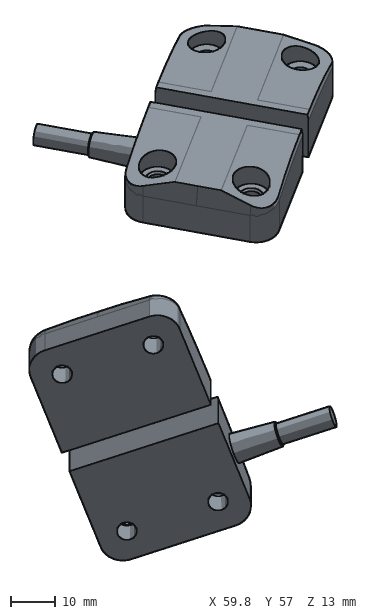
import cadquery as cq
import math

total_length = 59.75
total_depth = 57.0
height = 13.0
width = 35.95
depth = 26.0
gap = total_depth - 2 * depth
half_width = width / 2
corner_radius = 5.4

flat_half_width = 5.45
flat_edge_depth = 1.9
wing_drop = 4.0

band_radius = 12.55
band_draft = 0.08
band_inner_drop = 1.5
band_corner_drop = 3.45
band_outer_drop = 4.8

hole_spacing = 22.0
hole_from_inner_face = 18.9
hole_diameter = 4.5
counterbore_diameter = 8.5
counterbore_depth = 5.6
hole_mouth_diameter = 5.5
hole_mouth_depth = 0.5

cable_diameter = 5.0
cable_from_inner_face = 10.6
cable_height = 6.6
relief_length = 10.95
relief_root_diameter = 7.05
relief_tip_diameter = 6.0
relief_tip_chamfer = 0.3
relief_embed = 0.6

margin = 1.8


def mirrored_pair(solid):
    """Return a cutting body and its mirror image across the middle of the block."""
    return [solid, solid.mirror("YZ")]


def wing_cutter():
    """Space above one wing: zero drop at the flat strips, a curved drop at the side."""
    start = flat_edge_depth
    end = depth + margin
    middle = (start + end) / 2
    side_span = half_width - flat_half_width
    side_drop = wing_drop * ((end - start) / (depth - start)) ** 2
    roof = height + margin

    def profile(x, drop):
        bottom_start = cq.Vector(x, start, height)
        bottom_end = cq.Vector(x, end, height - drop)
        if drop == 0:
            bottom = cq.Edge.makeLine(bottom_start, bottom_end)
        else:
            bottom_middle = cq.Vector(x, middle, height - drop / 4)
            bottom = cq.Edge.makeThreePointArc(bottom_start, bottom_middle, bottom_end)
        roof_end = cq.Vector(x, end, roof)
        roof_start = cq.Vector(x, start, roof)
        return cq.Wire.assembleEdges([
            bottom,
            cq.Edge.makeLine(bottom_end, roof_end),
            cq.Edge.makeLine(roof_end, roof_start),
            cq.Edge.makeLine(roof_start, bottom_start),
        ])

    outer_drop = side_drop * (side_span + margin) / side_span
    outer_x = half_width + margin
    return cq.Solid.makeLoft([profile(flat_half_width, 0), profile(outer_x, outer_drop)], True)


def edge_band_cutter():
    """Space outside the rounded upper edge, swept along one side, corner and half the end."""
    inner_z = height - band_inner_drop
    corner_z = height - band_corner_drop
    outer_z = height - band_outer_drop
    corner_y = depth - corner_radius
    corner_x = half_width - corner_radius

    side_start = cq.Vector(half_width, 0, inner_z)
    side_middle = cq.Vector(half_width, corner_y / 2, inner_z - (inner_z - corner_z) / 4)
    side_end = cq.Vector(half_width, corner_y, corner_z)
    end_start = cq.Vector(corner_x, depth, outer_z)
    end_finish = cq.Vector(0, depth, outer_z)
    side = cq.Edge.makeThreePointArc(side_start, side_middle, side_end)

    quarter = math.pi / 2
    side_slope = 2 * (corner_z - inner_z) / corner_y
    start_rate = side_slope * corner_radius * quarter
    fall = outer_z - corner_z
    corner_points = []
    corner_steps = 8
    for step in range(corner_steps + 1):
        t = step / corner_steps
        eased = start_rate * t * (1 - t) ** 2 + fall * t ** 2 * (3 - 2 * t)
        corner_points.append(cq.Vector(
            corner_x + corner_radius * math.cos(quarter * t),
            corner_y + corner_radius * math.sin(quarter * t),
            corner_z + eased,
        ))
    corner = cq.Edge.makeSpline(
        corner_points, tangents=[cq.Vector(0, 1, side_slope), cq.Vector(-1, 0, 0)]
    )
    end = cq.Edge.makeLine(end_start, end_finish)
    path = cq.Wire.assembleEdges([side, corner, end])

    section_top = band_outer_drop + 0.6
    section_bottom = -0.6

    def band_point(rise):
        return (-(band_draft * rise + rise ** 2 / (2 * band_radius)), rise)

    section = (
        cq.Workplane("XZ", origin=(half_width, 0, inner_z))
        .moveTo(*band_point(section_bottom))
        .threePointArc(band_point((section_bottom + section_top) / 2), band_point(section_top))
        .lineTo(margin, section_top)
        .lineTo(margin, section_bottom)
        .close()
    )
    upright_guide = cq.Workplane(path.translate(cq.Vector(0, 0, height)))
    return section.sweep(cq.Workplane(path), auxSpine=upright_guide).val()


def screw_drill(mouth_diameter):
    """Stepped cutting body for one screw hole, with a conical mouth if wider than the hole."""
    floor = height - counterbore_depth
    drill = cq.Workplane("XY").circle(hole_diameter / 2).extrude(height)
    counterbore = (
        cq.Workplane("XY", origin=(0, 0, floor))
        .circle(counterbore_diameter / 2)
        .extrude(counterbore_depth)
    )
    drill = drill.union(counterbore)
    if mouth_diameter > hole_diameter:
        mouth = cq.Solid.makeCone(
            hole_diameter / 2, mouth_diameter / 2, hole_mouth_depth,
            pnt=cq.Vector(0, 0, floor - hole_mouth_depth),
        )
        drill = drill.union(cq.Workplane(mouth))
    return drill


def block(mouth_diameter):
    """One half of the sensor pair: inner face at Y = 0, rounded outer end at Y = depth."""
    body = (
        cq.Workplane("XY")
        .box(width, depth, height, centered=(True, False, False))
        .edges("|Z and >Y").fillet(corner_radius)
    )
    for cutter in mirrored_pair(wing_cutter()) + mirrored_pair(edge_band_cutter()):
        body = body.cut(cq.Workplane(cutter))
    drill = screw_drill(mouth_diameter)
    for x in (-hole_spacing / 2, hole_spacing / 2):
        body = body.cut(drill.translate((x, hole_from_inner_face, 0)))
    return body


def cable():
    """Cable with its tapered strain relief, turned about the cable axis."""
    root_x = -half_width
    tip_x = root_x - relief_length
    cable_end_x = half_width - total_length
    tip_radius = relief_tip_diameter / 2
    return (
        cq.Workplane("XY")
        .moveTo(root_x + relief_embed, 0)
        .lineTo(root_x + relief_embed, relief_root_diameter / 2)
        .lineTo(root_x, relief_root_diameter / 2)
        .lineTo(tip_x + relief_tip_chamfer, tip_radius)
        .lineTo(tip_x, tip_radius - relief_tip_chamfer)
        .lineTo(tip_x, cable_diameter / 2)
        .lineTo(cable_end_x, cable_diameter / 2)
        .lineTo(cable_end_x, 0)
        .close()
        .revolve(360, (0, 0, 0), (1, 0, 0))
        .translate((0, -cable_from_inner_face, cable_height))
    )


def actuator_block():
    """Plain half with screw holes only."""
    return block(hole_diameter).translate((0, gap / 2, 0))


def sensor_block():
    """Half that carries the cable; its screw holes widen at the counterbore floor."""
    body = block(hole_mouth_diameter).mirror("XZ").union(cable())
    return body.translate((0, -gap / 2, 0))


actuator = actuator_block()
sensor = sensor_block()
result = cq.Compound.makeCompound([actuator.val(), sensor.val()])